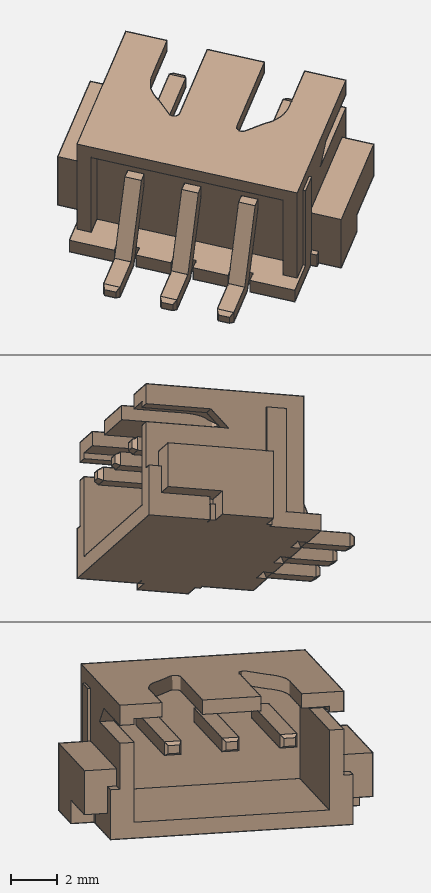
import cadquery as cq
import math


housing_width = 9.84
housing_depth = 7.03
housing_height = 5.92
wall = 0.635
base_height = 0.71
inner_width = housing_width - 2 * wall
inner_height = housing_height - wall - base_height
recess_depth = 0.88
partition_front = -(housing_depth - recess_depth)
partition_thickness = 0.8
cavity_depth = -partition_front - partition_thickness

base_width = 10.08
base_front = -7.76
notch_width = 0.98
notch_back = -7.31
rib_back = -5.34
rib_front = -6.21
rib_height = 5.28

side_width = 10.65
shoulder_depth = 2.72
shoulder_height = 2.21
foot_back = -2.74
foot_front = -5.48
tab_span = 12.67
tab_back = -0.55
tab_front = -5.25
tab_height = 2.97
tab_step_depth = -2.97
tab_step_height = 1.03

side_slot_bottom = 4.24
side_slot_top = 5.03
side_slot_depth = 3.67

slot_inner_x = 1.28
slot_outer_x = 3.07
slot_depth = 4.22
slot_tip_radius = 0.25
slot_bend_start_y = -2.2
slot_bend_width = 0.68

pin_count = 3
pin_pitch = 2.54
pin_width = 0.74
pin_thickness = 0.6
pin_end = -9.91
pin_top = 4.12
bend_front = -8.11
pin_lean = math.radians(23)
tip_length = 0.22
tip_inset = 0.12

pin_positions = [(i - (pin_count - 1) / 2) * pin_pitch for i in range(pin_count)]


def block(width, back, front, bottom, top):
    """Box centred on X, spanning Y from front to back and Z from bottom to top."""
    box = cq.Workplane("XY").box(width, back - front, top - bottom, centered=(True, False, False))
    return box.translate((0, front, bottom))


def make_housing():
    """Body shell with the mating cavity and the recess behind it, on its base plate."""
    inner_top = base_height + inner_height
    body = block(housing_width, 0, -housing_depth, 0, housing_height)
    body = body.cut(block(inner_width, 0, -cavity_depth, base_height, inner_top))
    body = body.cut(block(inner_width, partition_front, -housing_depth, base_height, inner_top))
    body = body.union(block(base_width, rib_back, base_front, 0, base_height))
    body = body.union(block(base_width, rib_back, rib_front, 0, rib_height))
    for x in pin_positions:
        notch = block(notch_width, notch_back, base_front, 0, base_height)
        body = body.cut(notch.translate((x, 0, 0)))
    return body


def make_side_slots():
    """Slot through both side walls, closed by a 45 degree end."""
    slot_height = side_slot_top - side_slot_bottom
    return (
        cq.Workplane("YZ")
        .moveTo(0, side_slot_bottom)
        .lineTo(-side_slot_depth, side_slot_bottom)
        .lineTo(-side_slot_depth + slot_height, side_slot_top)
        .lineTo(0, side_slot_top)
        .close()
        .extrude(housing_width / 2, both=True)
    )


def make_top_slot():
    """Key slot on the +X side: straight sides, an arc into a 45 degree flank and a rounded tip."""
    diagonal = math.sqrt(0.5)
    tip_x = slot_inner_x + slot_tip_radius
    tip_y = -slot_depth + slot_tip_radius
    flank_end_x = tip_x + slot_tip_radius * diagonal
    flank_end_y = tip_y - slot_tip_radius * diagonal
    bend_end_x = slot_outer_x - slot_bend_width
    bend_end_y = flank_end_y + bend_end_x - flank_end_x
    return (
        cq.Workplane("XY", origin=(0, 0, housing_height - wall))
        .moveTo(slot_outer_x, 0)
        .lineTo(slot_outer_x, slot_bend_start_y)
        .tangentArcPoint((bend_end_x, bend_end_y), relative=False)
        .lineTo(flank_end_x, flank_end_y)
        .tangentArcPoint((slot_inner_x, tip_y), relative=False)
        .lineTo(slot_inner_x, 0)
        .close()
        .extrude(wall)
    )


def make_side_supports():
    """Shoulders, feet and stepped solder tabs on both sides, outside the housing walls."""
    tabs = block(tab_span, tab_back, tab_front, 0, tab_height)
    tabs = tabs.cut(block(tab_span, tab_back, tab_step_depth, 0, tab_step_height))
    shoulders = block(side_width, 0, -shoulder_depth, 0, shoulder_height)
    feet = block(side_width, foot_back, foot_front, 0, base_height)
    return tabs.union(shoulders).union(feet).cut(block(housing_width, 0, -housing_depth, 0, housing_height))


def make_tip(y, direction, bottom):
    """Tapered pin tip starting at y and pointing along +Y or -Y."""
    middle = bottom + pin_thickness / 2
    plane = cq.Plane(origin=(0, y, middle), xDir=(1, 0, 0), normal=(0, direction, 0))
    return (
        cq.Workplane(plane)
        .rect(pin_width, pin_thickness)
        .workplane(offset=tip_length)
        .rect(pin_width - 2 * tip_inset, pin_thickness - 2 * tip_inset)
        .loft(ruled=True)
    )


def make_pin():
    """Bent pin: contact in the cavity, leaning leg behind the housing, solder foot on the board."""
    lean = math.tan(pin_lean)
    leg_thickness = pin_thickness / math.cos(pin_lean)
    contact_bottom = pin_top - pin_thickness
    leg_top_y = bend_front + contact_bottom * lean
    inner_bend_low = bend_front - pin_thickness * lean + leg_thickness
    inner_bend_high = inner_bend_low + contact_bottom * lean
    bar = (
        cq.Workplane("YZ")
        .polyline([
            (pin_end + tip_length, 0),
            (inner_bend_low, 0),
            (inner_bend_high, contact_bottom),
            (-tip_length, contact_bottom),
            (-tip_length, pin_top),
            (leg_top_y, pin_top),
            (bend_front, pin_thickness),
            (pin_end + tip_length, pin_thickness),
        ])
        .close()
        .extrude(pin_width / 2, both=True)
    )
    contact_tip = make_tip(-tip_length, 1, contact_bottom)
    foot_tip = make_tip(pin_end + tip_length, -1, 0)
    return bar.union(contact_tip).union(foot_tip)


top_slot = make_top_slot()
result = make_housing().cut(make_side_slots()).cut(top_slot).cut(top_slot.mirror("YZ"))
result = result.union(make_side_supports())
for pin_x in pin_positions:
    result = result.union(make_pin().translate((pin_x, 0, 0)))